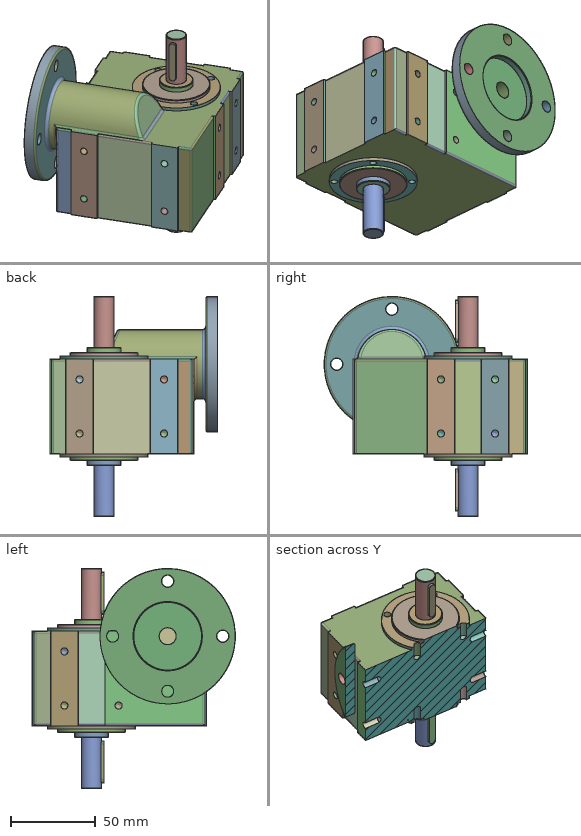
import cadquery as cq
import math


half_height = 28.0
left_x, right_x = -53.0, 32.0
front_y, back_y = -68.0, 35.0
recess_depth = 1.0
recess_wall_run = 0.32
edge_round = 1.0
pad_width = 16.0
pad_half_spacing = 25.0
pad_offset_y = 16.0
tapped_hole_z = 16.0
tapped_hole_diameter = 4.2
tapped_hole_depth = 10.0
drill_point_angle = 118

cover_diameter, cover_height = 52, 2.0
ring_diameter, ring_height = 40.0, 2.0
collar_diameter, collar_height = 20.0, 3.0
shaft_diameter = 12.0
shaft_end_z = 65
turned_chamfer = 0.4
cover_hole_offset = 16.2
key_width, key_length = 4.0, 25.0
key_reach = 7.5
key_gap_above_collar = 3.0
key_gap_below_collar = 2.0

flange_x = -67.1
flange_thickness = 7.0
flange_diameter = 80.0
flange_edge_round = 1.2
input_y, input_z = -45.0, 25.0
tube_diameter = 41.0
tube_end_slope = 25
tube_end_x = 0
blend_radius = 2.0
spigot_diameter, spigot_depth = 40.0, 4.0
spigot_chamfer = 0.45
bore_diameter, bore_depth = 10.0, 20.0
flange_hole_diameter = 7.0
flange_hole_circle = 65

middle_x = (left_x + right_x) / 2
flange_back_x = flange_x + flange_thickness
cover_top_z = half_height + cover_height
ring_top_z = cover_top_z + ring_height
collar_top_z = ring_top_z + collar_height


def drill(mouth, direction, diameter, depth):
    """Blind hole cutter with a conical bottom."""
    radius = diameter / 2
    point = radius / math.tan(math.radians(drill_point_angle / 2))
    base = cq.Vector(*mouth)
    way = cq.Vector(*direction)
    hole = cq.Solid.makeCylinder(radius, depth, base, way)
    cone = cq.Solid.makeCone(radius, 0, point, base + way * depth, way)
    return cq.Workplane(hole).union(cq.Workplane(cone))


def input_cylinder(x, diameter, length):
    """Cylinder on the input axis, running from x toward +X."""
    return cq.Workplane("YZ", origin=(x, input_y, input_z)).circle(diameter / 2).extrude(length)


def box_between(low, high):
    """Upright box between two opposite corners."""
    size = [b - a for a, b in zip(low, high)]
    return cq.Workplane("XY").box(*size, centered=False).translate(low)


def block():
    """Housing block at its full outer size."""
    return box_between((left_x, front_y, -half_height), (right_x, back_y, half_height))


def tube():
    """Tube along X whose far end is cut by a sloped plane with a rounded rim."""
    lean = math.tan(math.radians(tube_end_slope))
    top_z = input_z + tube_diameter
    bottom_z = input_z - tube_diameter
    profile = [
        (flange_back_x, bottom_z),
        (tube_end_x + (half_height - bottom_z) * lean, bottom_z),
        (tube_end_x + (half_height - top_z) * lean, top_z),
        (flange_back_x, top_z),
    ]
    wedge = (
        cq.Workplane("XZ", origin=(0, input_y, 0))
        .polyline(profile).close().extrude(tube_diameter, both=True)
    )
    body = input_cylinder(flange_back_x, tube_diameter, right_x - flange_back_x).intersect(wedge)
    return body.faces(">X").edges().fillet(blend_radius)


def blended_housing():
    """Block and tube joined with a blend all along the line where they meet."""
    margin = 0.1
    half_span = tube_diameter / 2 + margin
    near_corner = (left_x - margin, input_y - half_span, input_z - half_span)
    far_corner = (tube_end_x + margin, input_y + half_span, half_height + margin)
    joint = cq.selectors.BoxSelector(near_corner, far_corner)
    return block().union(tube()).edges(joint).fillet(blend_radius)


def recessed_core():
    """Block at the level of the recess floors, with its exposed edges rounded."""
    floor_left, floor_right = left_x + recess_depth, right_x - recess_depth
    floor_front, floor_back = front_y + recess_depth, back_y - recess_depth
    main = box_between(
        (floor_left, floor_front, -half_height), (floor_right, floor_back, half_height)
    )
    main = main.edges("|Z or >Z or (<X and <Z)").fillet(edge_round)
    foot = box_between(
        (left_x, floor_front, -half_height),
        (middle_x, pad_width / 2 - pad_offset_y, half_height),
    )
    foot = foot.edges("(<X and <Y) or (<X and <Z) or (<Y and >Z)").fillet(edge_round)
    return main.union(foot)


def pad(x, y, outward_angle):
    """Upright mounting pad whose outer face is centred at x, y."""
    inner = recess_depth + edge_round
    half = pad_width / 2
    foot = half + recess_wall_run
    outline = [
        (0, -half), (0, half), (-recess_depth, foot),
        (-inner, foot), (-inner, -foot), (-recess_depth, -foot),
    ]
    height = 2 * half_height + blend_radius
    return (
        cq.Workplane("XY").polyline(outline).close().extrude(height)
        .rotate((0, 0, 0), (0, 0, 1), outward_angle).translate((x, y, -half_height))
    )


pads = [(left_x, pad_offset_y, 180)]
for pad_x in (middle_x - pad_half_spacing, middle_x + pad_half_spacing):
    pads.append((pad_x, front_y, -90))
    pads.append((pad_x, back_y, 90))
for pad_y in (-pad_offset_y, pad_offset_y):
    pads.append((right_x, pad_y, 0))

hole_places = pads + [(left_x, -pad_offset_y, 180)]


def housing():
    """Blended housing trimmed to its recess floors, pads and input tube."""
    tube_front = front_y + recess_depth + edge_round
    above = box_between((left_x, tube_front, half_height), (right_x, back_y, shaft_end_z))
    beside = box_between((flange_x, tube_front, -half_height), (left_x, back_y, shaft_end_z))
    envelope = recessed_core().union(above).union(beside)
    for place in pads:
        envelope = envelope.union(pad(*place))
    return blended_housing().intersect(envelope)


def side_holes():
    """Upper and lower tapped holes in every mounting face."""
    holes = cq.Workplane("XY")
    for x, y, angle in hole_places:
        inward = (-math.cos(math.radians(angle)), -math.sin(math.radians(angle)), 0)
        for z in (-tapped_hole_z, tapped_hole_z):
            holes = holes.add(drill((x, y, z), inward, tapped_hole_diameter, tapped_hole_depth))
    return holes.combine()


def turned(diameter, top_z):
    """Disc or shaft around Z from the housing middle up, with a chamfered top rim."""
    body = cq.Workplane("XY").circle(diameter / 2).extrude(top_z)
    return body.faces(">Z").chamfer(turned_chamfer)


def shaft_side():
    """Cover, ring, collar and shaft on the upper side of the housing."""
    return (
        cq.Workplane("XY").circle(cover_diameter / 2).extrude(cover_top_z)
        .union(turned(ring_diameter, ring_top_z))
        .union(turned(collar_diameter, collar_top_z))
        .union(turned(shaft_diameter, shaft_end_z))
    )


def cover_holes():
    """Four tapped holes in the upper cover."""
    holes = cq.Workplane("XY")
    for x in (-cover_hole_offset, cover_hole_offset):
        for y in (-cover_hole_offset, cover_hole_offset):
            mouth = (x, y, cover_top_z)
            holes = holes.add(drill(mouth, (0, 0, -1), tapped_hole_diameter, tapped_hole_depth))
    return holes.combine()


def key(low_z):
    """Round-ended key standing out of the front of the shaft."""
    return (
        cq.Workplane("XZ", origin=(0, 0, low_z + key_length / 2))
        .slot2D(key_length, key_width, 90).extrude(key_reach)
    )


def flange():
    """Input flange with a blended root around the tube."""
    plate = input_cylinder(flange_x, flange_diameter, flange_thickness)
    plate = plate.faces(">X").edges().fillet(flange_edge_round)
    tube_radius = tube_diameter / 2
    root = (
        cq.Workplane("XY", origin=(flange_back_x, input_y, input_z))
        .lineTo(0, tube_radius + blend_radius)
        .radiusArc((blend_radius, tube_radius), -blend_radius)
        .lineTo(blend_radius, 0).close()
        .revolve(360, (0, 0, 0), (1, 0, 0))
    )
    return plate.union(root)


def input_cuts():
    """Spigot recess, motor shaft bore and the four bolt holes of the flange."""
    spigot = input_cylinder(flange_x, spigot_diameter, spigot_depth)
    mouth = cq.Workplane(cq.Solid.makeCone(
        spigot_diameter / 2 + spigot_chamfer, spigot_diameter / 2, spigot_chamfer,
        cq.Vector(flange_x, input_y, input_z), cq.Vector(1, 0, 0),
    ))
    bore = input_cylinder(flange_x, bore_diameter, spigot_depth + bore_depth)
    bolt_holes = (
        cq.Workplane("YZ", origin=(flange_x, input_y, input_z))
        .polarArray(flange_hole_circle / 2, 0, 360, 4)
        .circle(flange_hole_diameter / 2).extrude(flange_thickness)
    )
    return spigot.union(mouth).union(bore).union(bolt_holes)


upper_side = shaft_side()
lower_side = upper_side.mirror("XY")

result = (
    housing()
    .union(upper_side)
    .union(lower_side)
    .union(key(collar_top_z + key_gap_above_collar))
    .union(key(-collar_top_z - key_gap_below_collar - key_length))
    .union(flange())
    .cut(side_holes())
    .cut(cover_holes())
    .cut(cover_holes().mirror("XY"))
    .cut(input_cuts())
)